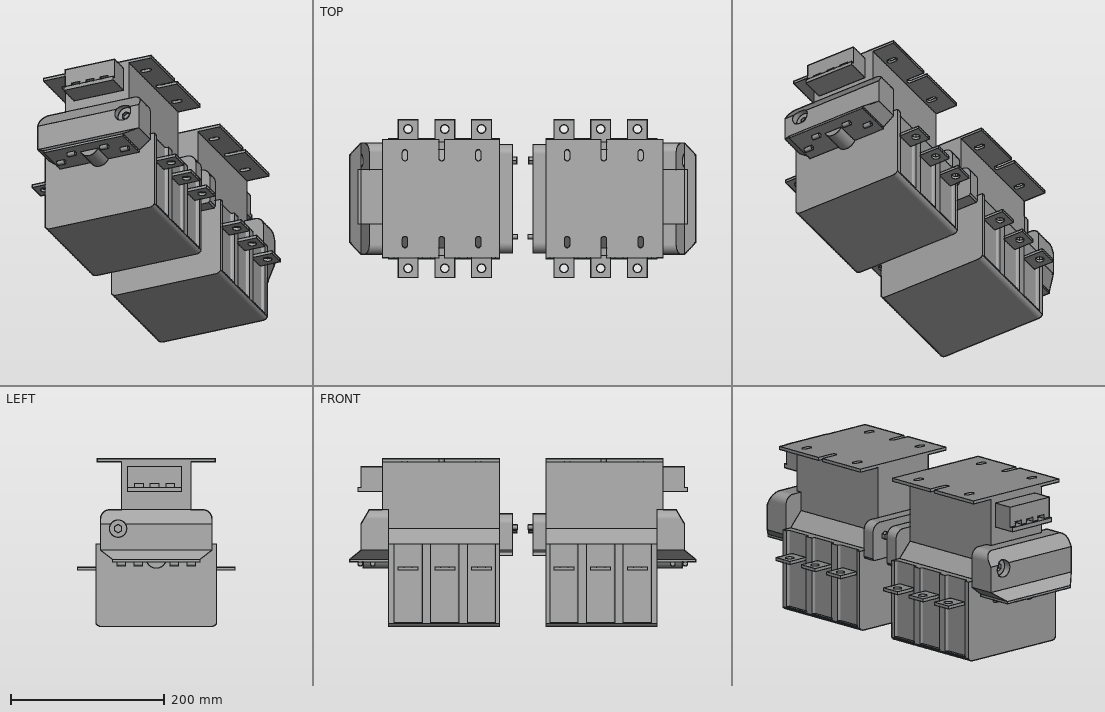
import cadquery as cq

OUTER_END_X = -226.0
TOTAL_HEIGHT = 219.0
TERMINAL_TIP_Y = 103.0

BLOCK_LEFT_X = -175.2
BLOCK_RIGHT_X = -30.3
BLOCK_HALF_DEPTH = 78.5
BLOCK_HEIGHT = 108.0
SHOULDER_TOP_Z = 128.0
SHOULDER_FOOT_Y = 64.0
BASE_ROUNDING_Y = 7.2
BASE_ROUNDING_Z = 4.0

TOWER_LEFT_X = -183.0
TOWER_HALF_DEPTH = 45.5
PLATE_HALF_DEPTH = 77.2
PLATE_THICKNESS = 4.0

POLE_PITCH = 48.0
POLE_OFFSETS = (-POLE_PITCH, 0, POLE_PITCH)
POLE_MIDDLE_X = -101.5
TERMINAL_WIDTH = 26.0
TERMINAL_THICKNESS = 4.0
TERMINAL_TOP_Z = 77.5
TERMINAL_HOLE_Y = 91.0
TERMINAL_HOLE_RADIUS = 5.5
BAY_WIDTH = 37.0
BAY_CORNER_RADIUS = 2.3
BAY_DEPTH = 4.5
BAY_FLOOR_Z = 5.5

SLOT_WIDTH = 7.2
SLOT_LENGTH = 14.5
SLOT_Y = 56.5
SLOT_MIDDLE_X = -105.5

BOX_END_X = -211.0
BOX_LEDGE_X = -215.0
BOX_MIDDLE_Y = 2.3
BOX_WIDTH = 71.0
BOX_BOTTOM_Z = 176.0
BOX_LEDGE_Z = 181.5
BOX_TOP_Z = 208.5
NOTCH_PITCH = 20.5
NOTCH_WIDTH = 11.5
NOTCH_HEIGHT = 5.5
NOTCH_DEPTH = 9.0

COVER_END_X = -211.0
COVER_TOP_Z = 152.5
COVER_BEVEL_X = -200.0
COVER_BEVEL_Z = 134.0
COVER_HALF_DEPTH = 72.5
COVER_CORNER_RADIUS = 12.0
FLARE_TOP_Z = 100.0
FLARE_BOTTOM_Z = 87.5
FLANGE_BOTTOM_Z = 84.5
FLANGE_HALF_DEPTH = 57.0

SHAFT_Y = 49.5
SHAFT_Z = 128.0
HEXAGON_RADIUS = 5.5
COUNTERBORE_RADIUS = 11.5
COUNTERBORE_FLOOR_X = -201.0
SOCKET_DEPTH = 4.5

BAR_RADIUS = 13.5
BAR_END_X = -208.0
BAR_AXIS_Z = 90.0
SCREW_RADIUS = 3.0
SCREW_LENGTH = 11.0
SCREW_AXIS_Z = 82.0
INNER_SCREW_X = -212.0
INNER_SCREW_Y = 23.5
OUTER_SCREW_X = -195.5
OUTER_SCREW_Y = 45.5

BRACKET_END_X = -13.0
BRACKET_HALF_DEPTH = 71.0
BRACKET_TOP_Z = 147.2
BRACKET_CORNER_RADIUS = 12.5
BRACKET_SIDE_Z = 100.0
FOOT_NECK_Y = 31.5
BRACKET_CHAMFER_Y = 2.0
BRACKET_BOTTOM_Z = 97.0
FOOT_TOE_Y = 36.0
FOOT_BOTTOM_Z = 92.5
SHAFT_STUB_END_X = -7.5
PIN_END_X = -7.0
PIN_RADIUS = 3.0
PIN_Z = 129.5


def box(x_range, y_range, z_range):
    """Box between two X, two Y and two Z positions."""
    sizes = [high - low for low, high in (x_range, y_range, z_range)]
    corner = (x_range[0], y_range[0], z_range[0])
    return cq.Workplane("XY").box(*sizes, centered=False).translate(corner)


def end_prism(right_half, x_start, x_end):
    """Extrude along X an outline symmetric in Y, given by the (y, z) points of its +Y half."""
    left_half = [(-y, z) for y, z in reversed(right_half)]
    outline = cq.Workplane("YZ", origin=(x_start, 0, 0)).polyline(right_half + left_half).close()
    return outline.extrude(x_end - x_start)


def x_cylinder(radius, y, z, x_start, x_end):
    """Cylinder along X."""
    return cq.Workplane("YZ", origin=(x_start, y, z)).circle(radius).extrude(x_end - x_start)


def shaft_hexagon(x_start, x_end):
    """Hexagonal prism on the shaft axis, with corners at its top and bottom."""
    section = cq.Workplane("YZ", origin=(x_start, SHAFT_Y, SHAFT_Z))
    section = section.transformed(rotate=(0, 0, 90)).polygon(6, 2 * HEXAGON_RADIUS)
    return section.extrude(x_end - x_start)


def make_bay(pole_x):
    """Cutter for the bay in front of one pole, on the -Y side: open at the top, round back corners."""
    front_y = -BLOCK_HALF_DEPTH
    bay = box(
        (pole_x - BAY_WIDTH / 2, pole_x + BAY_WIDTH / 2),
        (front_y, front_y + BAY_DEPTH),
        (BAY_FLOOR_Z, BLOCK_HEIGHT),
    )
    return bay.edges("|Z and >Y").fillet(BAY_CORNER_RADIUS)


def make_contact_block():
    """Lower body with its shoulders, bays and terminals."""
    outline = (
        cq.Workplane("YZ", origin=(BLOCK_LEFT_X, 0, 0))
        .lineTo(BLOCK_HALF_DEPTH - BASE_ROUNDING_Y, 0)
        .tangentArcPoint((BLOCK_HALF_DEPTH, BASE_ROUNDING_Z), relative=False)
        .lineTo(BLOCK_HALF_DEPTH, BLOCK_HEIGHT)
        .lineTo(SHOULDER_FOOT_Y, BLOCK_HEIGHT)
        .lineTo(TOWER_HALF_DEPTH, SHOULDER_TOP_Z)
        .lineTo(0, SHOULDER_TOP_Z)
        .mirrorY()
    )
    block = outline.extrude(BLOCK_RIGHT_X - BLOCK_LEFT_X)
    pole_positions = [POLE_MIDDLE_X + offset for offset in POLE_OFFSETS]
    for pole_x in pole_positions:
        bay = make_bay(pole_x)
        block = block.cut(bay).cut(bay.mirror("XZ"))
    for pole_x in pole_positions:
        bar = box(
            (pole_x - TERMINAL_WIDTH / 2, pole_x + TERMINAL_WIDTH / 2),
            (-TERMINAL_TIP_Y, TERMINAL_TIP_Y),
            (TERMINAL_TOP_Z - TERMINAL_THICKNESS, TERMINAL_TOP_Z),
        )
        hole_centres = [(pole_x, -TERMINAL_HOLE_Y), (pole_x, TERMINAL_HOLE_Y)]
        holes = cq.Workplane("XY").pushPoints(hole_centres).circle(TERMINAL_HOLE_RADIUS)
        block = block.union(bar.cut(holes.extrude(TERMINAL_TOP_Z)))
    return block


def make_tower():
    """Upright tower carrying the slotted mounting plate."""
    x_range = (TOWER_LEFT_X, BLOCK_RIGHT_X)
    plate_bottom_z = TOTAL_HEIGHT - PLATE_THICKNESS
    tower = box(x_range, (-TOWER_HALF_DEPTH, TOWER_HALF_DEPTH), (SHOULDER_TOP_Z, plate_bottom_z))
    plate = box(x_range, (-PLATE_HALF_DEPTH, PLATE_HALF_DEPTH), (plate_bottom_z, TOTAL_HEIGHT))
    for offset in POLE_OFFSETS:
        for side in (-1, 1):
            slot_x = SLOT_MIDDLE_X + offset
            slot = cq.Workplane("XY", origin=(slot_x, side * SLOT_Y, plate_bottom_z))
            plate = plate.cut(slot.slot2D(SLOT_LENGTH, SLOT_WIDTH, 90).extrude(PLATE_THICKNESS))
    for y_range in ((SLOT_Y, PLATE_HALF_DEPTH), (-PLATE_HALF_DEPTH, -SLOT_Y)):
        slot_x_range = (SLOT_MIDDLE_X - SLOT_WIDTH / 2, SLOT_MIDDLE_X + SLOT_WIDTH / 2)
        plate = plate.cut(box(slot_x_range, y_range, (plate_bottom_z, TOTAL_HEIGHT)))
    return tower.union(plate)


def make_terminal_box():
    """Coil terminal box with a ledge and three wire notches above it."""
    y_range = (BOX_MIDDLE_Y - BOX_WIDTH / 2, BOX_MIDDLE_Y + BOX_WIDTH / 2)
    terminal_box = box((BOX_END_X, TOWER_LEFT_X), y_range, (BOX_BOTTOM_Z, BOX_TOP_Z))
    terminal_box = terminal_box.union(
        box((BOX_LEDGE_X, TOWER_LEFT_X), y_range, (BOX_BOTTOM_Z, BOX_LEDGE_Z))
    )
    for offset in (-NOTCH_PITCH, 0, NOTCH_PITCH):
        notch_y = BOX_MIDDLE_Y + offset
        notch = box(
            (BOX_END_X, BOX_END_X + NOTCH_DEPTH),
            (notch_y - NOTCH_WIDTH / 2, notch_y + NOTCH_WIDTH / 2),
            (BOX_LEDGE_Z, BOX_LEDGE_Z + NOTCH_HEIGHT),
        )
        terminal_box = terminal_box.cut(notch)
    return terminal_box


def make_coil_cover():
    """Bevelled cover with a flared flange, a counterbored shaft hole, a bar and clamp screws."""
    cover = end_prism(
        [
            (FLANGE_HALF_DEPTH, FLANGE_BOTTOM_Z),
            (FLANGE_HALF_DEPTH, FLARE_BOTTOM_Z),
            (COVER_HALF_DEPTH, FLARE_TOP_Z),
            (COVER_HALF_DEPTH, COVER_TOP_Z),
        ],
        OUTER_END_X,
        BLOCK_LEFT_X,
    )
    cover = cover.edges("|X and >Z").fillet(COVER_CORNER_RADIUS)
    side_outline = [
        (BLOCK_LEFT_X, FLANGE_BOTTOM_Z),
        (OUTER_END_X, FLANGE_BOTTOM_Z),
        (OUTER_END_X, FLARE_BOTTOM_Z),
        (COVER_END_X, FLARE_TOP_Z),
        (COVER_END_X, COVER_BEVEL_Z),
        (COVER_BEVEL_X, COVER_TOP_Z),
        (BLOCK_LEFT_X, COVER_TOP_Z),
    ]
    side = cq.Workplane("XZ").polyline(side_outline).close().extrude(COVER_HALF_DEPTH, both=True)
    cover = cover.intersect(side)

    cover = cover.cut(
        x_cylinder(COUNTERBORE_RADIUS, SHAFT_Y, SHAFT_Z, COVER_END_X, COUNTERBORE_FLOOR_X)
    )
    cover = cover.cut(shaft_hexagon(COUNTERBORE_FLOOR_X, COUNTERBORE_FLOOR_X + SOCKET_DEPTH))

    cover = cover.union(x_cylinder(BAR_RADIUS, 0, BAR_AXIS_Z, BAR_END_X, BLOCK_LEFT_X))
    for screw_x, screw_y in ((INNER_SCREW_X, INNER_SCREW_Y), (OUTER_SCREW_X, OUTER_SCREW_Y)):
        for side_y in (-screw_y, screw_y):
            screw = cq.Workplane("XZ", origin=(screw_x, side_y, SCREW_AXIS_Z)).circle(SCREW_RADIUS)
            cover = cover.union(screw.extrude(SCREW_LENGTH / 2, both=True))
    return cover


def make_bracket():
    """Inner end bracket with its dovetail foot, the shaft stub and a thinner pin."""
    bracket = end_prism(
        [
            (FOOT_TOE_Y, FOOT_BOTTOM_Z),
            (FOOT_NECK_Y, BRACKET_BOTTOM_Z),
            (BRACKET_HALF_DEPTH - BRACKET_CHAMFER_Y, BRACKET_BOTTOM_Z),
            (BRACKET_HALF_DEPTH, BRACKET_SIDE_Z),
            (BRACKET_HALF_DEPTH, BRACKET_TOP_Z),
        ],
        BLOCK_RIGHT_X,
        BRACKET_END_X,
    )
    bracket = bracket.edges("|X and >Z").fillet(BRACKET_CORNER_RADIUS)
    bracket = bracket.union(shaft_hexagon(BRACKET_END_X, SHAFT_STUB_END_X))
    return bracket.union(x_cylinder(PIN_RADIUS, -SHAFT_Y, PIN_Z, BRACKET_END_X, PIN_END_X))


def make_contactor():
    """One complete contactor as a single solid."""
    contactor = make_contact_block().union(make_tower())
    for attachment in (make_terminal_box(), make_coil_cover(), make_bracket()):
        contactor = contactor.union(attachment)
    return contactor


left_contactor = make_contactor()
right_contactor = left_contactor.mirror("YZ")

result = cq.Compound.makeCompound([left_contactor.val(), right_contactor.val()])